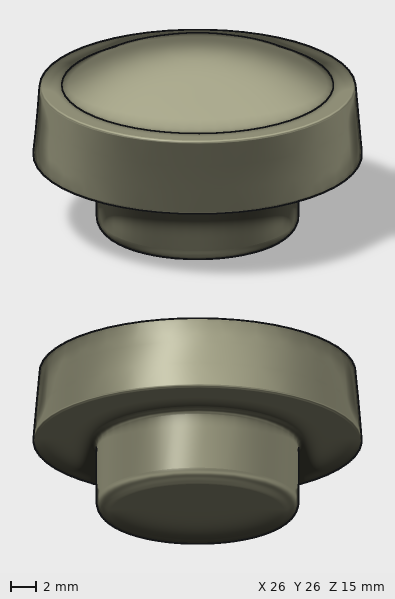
import cadquery as cq
import math

cap_diameter = 26.0
cap_draft_angle = 5.0
cap_height = 6.0
stem_diameter = 16.0
stem_height = 6.0
dome_diameter = 21.48
dome_height = 3.0

stem_end_fillet = 1.01
stem_root_fillet = 0.5
cap_edge_fillet = 0.2

lower_rim_angle = math.radians(90 - cap_draft_angle)
rim_allowance = cap_edge_fillet * (1 / math.tan(lower_rim_angle / 2) - 1)
cap_radius = cap_diameter / 2 + rim_allowance
cap_top_radius = cap_radius - cap_height * math.tan(math.radians(cap_draft_angle))
stem_radius = stem_diameter / 2
dome_radius = dome_diameter / 2
cap_top = stem_height + cap_height
overall_height = cap_top + dome_height


def make_stem():
    """Round stem with a rounded free end, reaching up to the cap."""
    stem = cq.Workplane("XY").circle(stem_radius).extrude(stem_height)
    return stem.faces("<Z").edges().fillet(stem_end_fillet)


def make_cap():
    """Cap tapering upwards, with softened upper and lower rims."""
    cap = (
        cq.Workplane("XZ")
        .moveTo(0, stem_height)
        .lineTo(cap_radius, stem_height)
        .lineTo(cap_top_radius, cap_top)
        .lineTo(0, cap_top)
        .close()
        .revolve(360, (0, 0), (0, 1))
    )
    return cap.faces("<Z or >Z").edges().fillet(cap_edge_fillet)


def make_dome():
    """Spherical dome standing on the flat top of the cap."""
    sphere_radius = (dome_radius**2 + dome_height**2) / (2 * dome_height)
    sphere_centre = overall_height - sphere_radius
    sphere = cq.Workplane("XY").sphere(sphere_radius).translate((0, 0, sphere_centre))
    above_cap = cq.Workplane("XY").workplane(offset=cap_top).circle(dome_diameter).extrude(2 * dome_height)
    return sphere.intersect(above_cap)


def make_root_fillet():
    """Concave ring blending the stem into the underside of the cap."""
    outer_radius = stem_radius + stem_root_fillet
    ring_bottom = stem_height - stem_root_fillet
    diagonal = stem_root_fillet * 0.5**0.5
    return (
        cq.Workplane("XZ")
        .moveTo(stem_radius, ring_bottom)
        .threePointArc((outer_radius - diagonal, ring_bottom + diagonal), (outer_radius, stem_height))
        .lineTo(stem_radius, stem_height)
        .close()
        .revolve(360, (0, 0), (0, 1))
    )


result = make_stem().union(make_cap()).union(make_root_fillet()).union(make_dome())